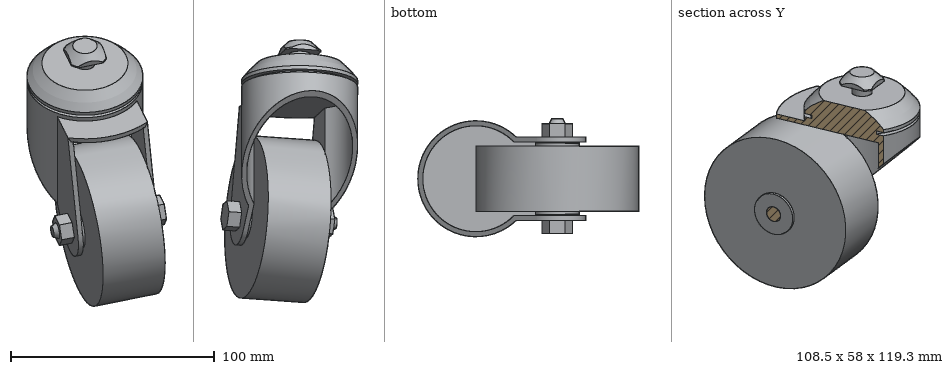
import cadquery as cq
import math


WHEEL_RADIUS = 40.0
WHEEL_WIDTH = 32.0
WHEEL_OFFSET = 40.0
HUB_RADIUS = 10.8
HUB_WIDTH = 35.0

FORK_RADIUS = 28.5
FORK_WIDTH = 41.0
WALL = 2.5
FORK_TOP = 57.0
CROWN_TOP = 54.8
CROWN_RADIUS = 42.3
FRONT_EDGE_BOTTOM = 47.8
EAR_RADIUS = 14.1

NECK_RADIUS = 25.4
NECK_HEIGHT = 1.5
CAP_RADIUS = FORK_RADIUS
CAP_RIM_HEIGHT = 1.8
CAP_MIDDLE_RADIUS = 25.5
CAP_LOWER_CONE_HEIGHT = 3.6
CAP_TOP_RADIUS = 21.1
CAP_UPPER_CONE_HEIGHT = 4.4

STUD_RADIUS = 5.0
STUD_HEIGHT = 5.5
HEAD_RADIUS = 11.0
HEAD_SQUARE = 18.0
HEAD_TOP_RADIUS = 6.0
HEAD_RIM_HEIGHT = 0.7
HEAD_HEIGHT = 5.5

BOLT_RADIUS = 4.0
BOLT_TIP_RADIUS = 2.75
BOLT_TIP_LENGTH = 2.5
HEX_ACROSS_FLATS = 13.0
HEX_HEIGHT = 6.5


def disc_on_axle(radius, width):
    """Cylinder along Y, centred on the axle."""
    return (
        cq.Workplane("XZ")
        .center(WHEEL_OFFSET, 0)
        .circle(radius)
        .extrude(width / 2, both=True)
    )


def ear_tangent_point(x, z, side):
    """Point where a line from (x, z) touches the ear circle; side (+1 or -1) picks the tangent."""
    dx = x - WHEEL_OFFSET
    distance = math.hypot(dx, z)
    angle = math.atan2(z, dx) + side * math.acos(EAR_RADIUS / distance)
    return (WHEEL_OFFSET + EAR_RADIUS * math.cos(angle), EAR_RADIUS * math.sin(angle))


def fork_side_outline():
    """Side silhouette of the fork, extruded across its full width."""
    half_width = FORK_WIDTH / 2
    rear_top_x = math.sqrt(CROWN_RADIUS**2 - half_width**2)
    rear_tangent = ear_tangent_point(rear_top_x, CROWN_TOP, -1)
    front_tangent = ear_tangent_point(-FORK_RADIUS, FRONT_EDGE_BOTTOM, 1)
    return (
        cq.Workplane("XZ")
        .moveTo(-FORK_RADIUS, FORK_TOP)
        .lineTo(FORK_RADIUS, FORK_TOP)
        .lineTo(FORK_RADIUS, CROWN_TOP)
        .lineTo(rear_top_x, CROWN_TOP)
        .lineTo(*rear_tangent)
        .threePointArc((WHEEL_OFFSET, -EAR_RADIUS), front_tangent)
        .lineTo(-FORK_RADIUS, FRONT_EDGE_BOTTOM)
        .close()
        .extrude(FORK_RADIUS, both=True)
    )


def channel(radius, width, bottom, column_top, block_top):
    """Round column about the swivel axis joined to a straight block running back past the axle."""
    length = WHEEL_OFFSET + EAR_RADIUS
    column = cq.Workplane("XY").workplane(offset=bottom).circle(radius).extrude(column_top - bottom)
    block = (
        cq.Workplane("XY")
        .workplane(offset=bottom)
        .center(length / 2, 0)
        .rect(length, width)
        .extrude(block_top - bottom)
    )
    return column.union(block)


def make_fork():
    crown_bottom = CROWN_TOP - WALL
    body = channel(FORK_RADIUS, FORK_WIDTH, -EAR_RADIUS, FORK_TOP, CROWN_TOP)
    body = body.intersect(fork_side_outline())
    cavity = channel(
        FORK_RADIUS - WALL, FORK_WIDTH - 2 * WALL, -EAR_RADIUS, crown_bottom, crown_bottom
    )
    crown_limit = (
        cq.Workplane("XY").workplane(offset=crown_bottom).circle(CROWN_RADIUS).extrude(WALL)
    )
    crown = channel(FORK_RADIUS, FORK_WIDTH, crown_bottom, CROWN_TOP, CROWN_TOP)
    crown = crown.intersect(crown_limit)
    return body.cut(cavity).union(crown)


def make_swivel_cap():
    rim_bottom = FORK_TOP + NECK_HEIGHT
    rim_top = rim_bottom + CAP_RIM_HEIGHT
    middle = rim_top + CAP_LOWER_CONE_HEIGHT
    top = middle + CAP_UPPER_CONE_HEIGHT
    cap = (
        cq.Workplane("XZ")
        .moveTo(0, FORK_TOP)
        .lineTo(NECK_RADIUS, FORK_TOP)
        .lineTo(NECK_RADIUS, rim_bottom)
        .lineTo(CAP_RADIUS, rim_bottom)
        .lineTo(CAP_RADIUS, rim_top)
        .lineTo(CAP_MIDDLE_RADIUS, middle)
        .lineTo(CAP_TOP_RADIUS, top)
        .lineTo(0, top)
        .close()
        .revolve(360, (0, 0, 0), (0, 1, 0))
    )
    return cap, top


def make_stud(base):
    """Shank with a coned head whose sides are milled square."""
    head_bottom = base + STUD_HEIGHT
    head_top = head_bottom + HEAD_HEIGHT
    shank = cq.Workplane("XY").workplane(offset=base).circle(STUD_RADIUS).extrude(STUD_HEIGHT)
    turned_head = (
        cq.Workplane("XZ")
        .moveTo(0, head_bottom)
        .lineTo(HEAD_RADIUS, head_bottom)
        .lineTo(HEAD_RADIUS, head_bottom + HEAD_RIM_HEIGHT)
        .lineTo(HEAD_TOP_RADIUS, head_top)
        .lineTo(0, head_top)
        .close()
        .revolve(360, (0, 0, 0), (0, 1, 0))
    )
    square = (
        cq.Workplane("XY")
        .workplane(offset=head_bottom)
        .rect(HEAD_SQUARE, HEAD_SQUARE)
        .extrude(HEAD_HEIGHT)
    )
    return shank.union(turned_head.intersect(square))


def make_axle_bolt():
    """Bolt along Y with a hexagon outside each side plate and a coned tip on the -Y side."""
    hex_face = FORK_WIDTH / 2 + HEX_HEIGHT
    hex_corner_diameter = HEX_ACROSS_FLATS / math.cos(math.pi / 6)
    bolt = disc_on_axle(BOLT_RADIUS, 2 * hex_face)
    for start in (-FORK_WIDTH / 2, hex_face):
        hexagon = (
            cq.Workplane("XZ", origin=(WHEEL_OFFSET, start, 0))
            .polygon(6, hex_corner_diameter)
            .extrude(HEX_HEIGHT)
        )
        bolt = bolt.union(hexagon)
    tip = (
        cq.Workplane("XZ", origin=(WHEEL_OFFSET, -hex_face, 0))
        .circle(BOLT_RADIUS)
        .workplane(offset=BOLT_TIP_LENGTH)
        .circle(BOLT_TIP_RADIUS)
        .loft(combine=True)
    )
    return bolt.union(tip)


wheel = disc_on_axle(WHEEL_RADIUS, WHEEL_WIDTH).union(disc_on_axle(HUB_RADIUS, HUB_WIDTH))
swivel_cap, cap_top = make_swivel_cap()

result = make_fork().union(swivel_cap).union(make_stud(cap_top)).union(make_axle_bolt()).union(wheel)